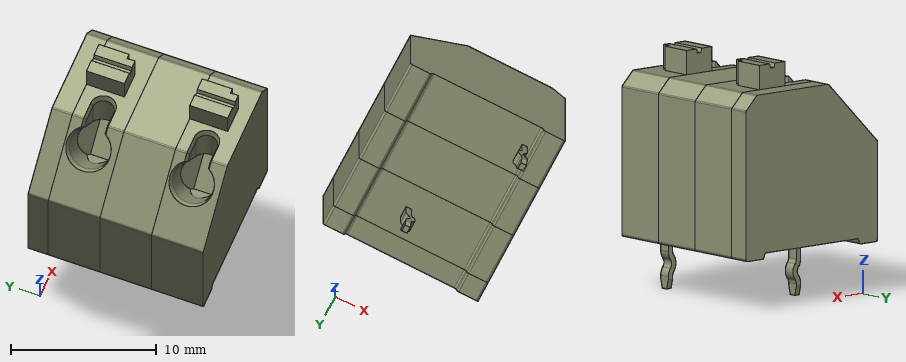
import cadquery as cq
import math

TOTAL_HEIGHT = 16.8
LENGTH = 12.0
WIDTH = 12.94
HOUSING_HEIGHT = 11.5
BUTTON_HEIGHT = 1.7
PIN_LENGTH = TOTAL_HEIGHT - HOUSING_HEIGHT - BUTTON_HEIGHT

SLICE_WIDTH = 3.81
POLE_STARTS = (0.0, 2 * SLICE_WIDTH)
END_PLATE_START = 3 * SLICE_WIDTH

SLOPE = 4.49
REAR_CHAMFER = 1.0
FOOT_BOTTOM = 1.61
FOOT_TOP = 1.75
RECESS = 0.4
EDGE_RADIUS = 0.15

ENTRY_X = 3.09
ENTRY_Z = HOUSING_HEIGHT - SLOPE + ENTRY_X
ENTRY_Y = 2.07
MOUTH_RADIUS = 1.61
HOLE_RADIUS = 1.5
MOUTH_DEPTH = 0.5
HOLE_DEPTH = 3.76
NARROWING_DEPTH = 2.55
LOWER_NARROWING = 0.24
SIDE_NARROWING = 0.94
SLOT_END_X = 5.83
SLOT_RADIUS = 0.75
SLOT_MOUTH_RADIUS = 0.9
SLOT_MOUTH_DEPTH = 0.4

BUTTON_X = 7.12
BUTTON_LENGTH = 2.34
BUTTON_WIDTH = 2.8
NOTCH_LENGTH = 0.35
NOTCH_WIDTH = 0.59
GROOVE_TOP = 0.5
GROOVE_BOTTOM = 0.29
GROOVE_DEPTH = 0.3

PIN_THICKNESS = 0.4
PIN_WIDTH = 0.8
PIN_TIP_WIDTH = 0.47
PIN_TIP_LENGTH = 0.69
PIN_BUMP = 0.3
PIN_BUMP_HALF_HEIGHT = 0.87
FRONT_PIN_X = 9.73
BACK_PIN_X = 4.72
FRONT_BUMP_Z = -1.83
BACK_BUMP_Z = -1.9


def make_slice(start, width):
    """A plain housing slice with the common outline, from start along +Y."""
    outline = [
        (0, 0),
        (FOOT_BOTTOM, 0),
        (FOOT_TOP, RECESS),
        (LENGTH - FOOT_TOP, RECESS),
        (LENGTH - FOOT_BOTTOM, 0),
        (LENGTH, 0),
        (LENGTH, HOUSING_HEIGHT - REAR_CHAMFER),
        (LENGTH - REAR_CHAMFER, HOUSING_HEIGHT),
        (SLOPE, HOUSING_HEIGHT),
        (0, HOUSING_HEIGHT - SLOPE),
    ]
    body = cq.Workplane("XZ", origin=(0, start, 0)).polyline(outline).close().extrude(-width)
    return body.edges("|Y").fillet(EDGE_RADIUS)


def slope_plane(y):
    """Plane on the sloping face at the hole centre: x up the slope, y along Y, z outward."""
    return cq.Plane(origin=(ENTRY_X, y, ENTRY_Z), xDir=(1, 0, 1), normal=(-1, 0, 1))


def flared_slot(plane, start, end):
    """Slot mouth sunk below a plane, narrowing from the mouth radius to the slot radius."""
    flare = math.degrees(math.atan((SLOT_MOUTH_RADIUS - SLOT_RADIUS) / SLOT_MOUTH_DEPTH))
    mouth = cq.Workplane(plane).center((start + end) / 2, 0)
    mouth = mouth.slot2D(end - start + 2 * SLOT_MOUTH_RADIUS, 2 * SLOT_MOUTH_RADIUS)
    return mouth.extrude(-SLOT_MOUTH_DEPTH, taper=flare)


def upright_section(plane):
    """Section plane through the hole axis: x up the slope, y outward along the axis."""
    return cq.Plane(origin=plane.origin, xDir=plane.xDir, normal=-plane.yDir)


def side_section(plane):
    """Section plane through the hole axis: x along Y, y outward along the axis."""
    return cq.Plane(origin=plane.origin, xDir=plane.yDir, normal=plane.xDir)


def wire_hole(plane):
    """Round hole with a conical mouth and a flat bottom."""
    half_section = [
        (0, 0),
        (MOUTH_RADIUS, 0),
        (HOLE_RADIUS, -MOUTH_DEPTH),
        (HOLE_RADIUS, -HOLE_DEPTH),
        (0, -HOLE_DEPTH),
    ]
    return cq.Workplane(upright_section(plane)).polyline(half_section).close().revolve(360, (0, 0), (0, 1))


def guide_wedge(section_plane, wall, narrowing):
    """Wedge that fills one side of the hole below the narrowing depth."""
    section = [
        (wall, -NARROWING_DEPTH),
        (wall - math.copysign(narrowing, wall), -HOLE_DEPTH),
        (wall, -HOLE_DEPTH),
    ]
    return cq.Workplane(section_plane).polyline(section).close().extrude(2 * HOLE_RADIUS, both=True)


def wire_entry(y):
    """Everything removed from a pole slice to let the wire in."""
    plane = slope_plane(y)

    slot_length = SLOT_END_X - ENTRY_X
    slot = cq.Workplane("XY", origin=(ENTRY_X + slot_length / 2, y, 0))
    slot = slot.slot2D(slot_length + 2 * SLOT_RADIUS, 2 * SLOT_RADIUS).extrude(HOUSING_HEIGHT)
    upper_side = cq.Workplane(plane).workplane(offset=-HOLE_DEPTH)
    upper_side = upper_side.center(LENGTH / 2, 0).rect(LENGTH, SLICE_WIDTH).extrude(LENGTH)
    entry = wire_hole(plane).union(slot.intersect(upper_side))

    entry = entry.cut(guide_wedge(upright_section(plane), -HOLE_RADIUS, LOWER_NARROWING))
    entry = entry.cut(guide_wedge(side_section(plane), HOLE_RADIUS, SIDE_NARROWING))

    top = cq.Plane(origin=(0, y, HOUSING_HEIGHT), xDir=(1, 0, 0), normal=(0, 0, 1))
    entry = entry.union(flared_slot(top, ENTRY_X, SLOT_END_X))
    return entry.union(flared_slot(plane, 0, SLOPE))


def push_button(slice_end):
    """Grooved block on the housing top, flush with the +Y end of its slice."""
    y = slice_end - BUTTON_WIDTH
    end_x = BUTTON_X + BUTTON_LENGTH
    outline = [
        (BUTTON_X, y),
        (end_x - NOTCH_LENGTH, y),
        (end_x - NOTCH_LENGTH, y + NOTCH_WIDTH),
        (end_x, y + NOTCH_WIDTH),
        (end_x, slice_end),
        (BUTTON_X, slice_end),
    ]
    block = cq.Workplane("XY", origin=(0, 0, HOUSING_HEIGHT)).polyline(outline).close()
    block = block.extrude(BUTTON_HEIGHT)
    groove = (
        cq.Workplane("XZ", origin=(BUTTON_X + BUTTON_LENGTH / 2, y, HOUSING_HEIGHT + BUTTON_HEIGHT))
        .moveTo(-GROOVE_TOP / 2, 0)
        .lineTo(GROOVE_TOP / 2, 0)
        .lineTo(GROOVE_BOTTOM / 2, -GROOVE_DEPTH)
        .lineTo(-GROOVE_BOTTOM / 2, -GROOVE_DEPTH)
        .close()
        .extrude(-BUTTON_WIDTH)
    )
    return block.cut(groove)


def solder_pin(x, y, bump, bump_z):
    """Strip hanging from the recess ceiling; the sign of bump gives its side along X."""
    path = (
        cq.Workplane("XZ", origin=(x, y, 0))
        .moveTo(0, RECESS)
        .lineTo(0, bump_z + PIN_BUMP_HALF_HEIGHT)
        .tangentArcPoint((bump / 2, bump_z + PIN_BUMP_HALF_HEIGHT / 2), relative=False)
        .tangentArcPoint((bump / 2, bump_z - PIN_BUMP_HALF_HEIGHT / 2), relative=False)
        .tangentArcPoint((0, bump_z - PIN_BUMP_HALF_HEIGHT), relative=False)
        .lineTo(0, -PIN_LENGTH)
    )
    strip = cq.Workplane("XY", origin=(x, y, RECESS)).rect(PIN_THICKNESS, PIN_WIDTH).sweep(path)
    face = [
        (-PIN_WIDTH / 2, RECESS),
        (PIN_WIDTH / 2, RECESS),
        (PIN_WIDTH / 2, PIN_TIP_LENGTH - PIN_LENGTH),
        (PIN_TIP_WIDTH / 2, -PIN_LENGTH),
        (-PIN_TIP_WIDTH / 2, -PIN_LENGTH),
        (-PIN_WIDTH / 2, PIN_TIP_LENGTH - PIN_LENGTH),
    ]
    tapered = cq.Workplane("YZ", origin=(x, y, 0)).polyline(face).close().extrude(PIN_WIDTH, both=True)
    return strip.intersect(tapered)


def make_pole(start, pin_x, bump, bump_z):
    """Slice with a wire entry, a push button and a solder pin."""
    y = start + ENTRY_Y
    pole = make_slice(start, SLICE_WIDTH).cut(wire_entry(y))
    pole = pole.union(push_button(start + SLICE_WIDTH))
    return pole.union(solder_pin(pin_x, y, bump, bump_z))


pin_settings = (
    (FRONT_PIN_X, -PIN_BUMP, FRONT_BUMP_Z),
    (BACK_PIN_X, PIN_BUMP, BACK_BUMP_Z),
)
poles = [make_pole(start, *setting).val() for start, setting in zip(POLE_STARTS, pin_settings)]
spacer = make_slice(SLICE_WIDTH, SLICE_WIDTH)
end_plate = make_slice(END_PLATE_START, WIDTH - END_PLATE_START)

result = cq.Compound.makeCompound([*poles, spacer.val(), end_plate.val()])